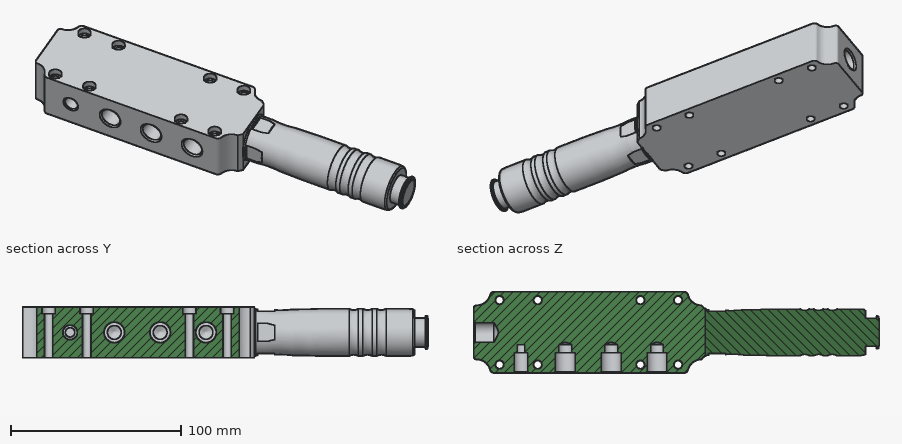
import cadquery as cq
import math

total_length = 238.5

block_length = 136.2
block_width = 48.0
block_height = 30.0
scallop_radius = 16.0 / 2
shoulder_radius = 2.9
end_radius = 2.0
end_chamfer = 2.5

screw_hole_diameter = 4.8
screw_head_diameter = 7.6
screw_head_depth = 4.0
screw_row_spacing = 38.0
screw_positions = [15.3, 37.7, 98.0, 120.2]

port_diameter = 12.0
port_rim_diameter = 13.8
port_rim_depth = 1.0
port_depth = 12.0
port_bore_diameter = 8.0
port_bore_depth = 4.8
port_pitch = 27.0
first_port_position = 54.0
port_count = 3
end_port_depth = 12.0
small_port_position = 28.0
small_port_diameter = 8.3
small_port_rim_diameter = 9.8
small_port_rim_depth = 0.7
small_port_depth = 12.0
small_port_bore_diameter = 5.5
small_port_bore_depth = 4.8
drill_half_angle = 59.0

collar_radius = 14.3
collar_end = 137.1
neck_radius = 13.5
neck_end = 144.0
waist_radius = 13.0
waist_end = 158.8
grip_radius = 28.0 / 2
grip_start = 174.0
groove_pitch = 8.0
groove_width = 5.5
groove_depth = 0.7
groove_count = 3
first_groove_position = 194.5
taper_start = 227.0
taper_end = 229.5
taper_radius = 27.5 / 2
grip_end = 230.5
grip_end_radius = 12.9
stub_radius = 8.5
nut_start = 236.5
nut_end = 238.0
nut_radius = 19.8 / 2
nut_chamfer = 0.5
tip_radius = 8.0
flat_start = 138.0
flat_end = 148.0
across_flats = 25.0
flat_count = 4


def block_blank():
    """Block with rounded concave reliefs at its four vertical corners."""
    half_width = block_width / 2
    scallop_floor = half_width - scallop_radius
    free_centre = end_radius
    handle_centre = block_length - end_chamfer

    reach = scallop_radius + shoulder_radius
    shoulder_run = math.sqrt(reach**2 - shoulder_radius**2)
    touch_run = shoulder_run * scallop_radius / reach
    touch_y = half_width - shoulder_radius * scallop_radius / reach

    half_outline = (
        cq.Workplane("XY")
        .lineTo(0, scallop_floor - end_radius)
        .tangentArcPoint((free_centre, scallop_floor), relative=False)
        .tangentArcPoint((free_centre + touch_run, touch_y), relative=False)
        .tangentArcPoint((free_centre + shoulder_run, half_width), relative=False)
        .lineTo(handle_centre - shoulder_run, half_width)
        .tangentArcPoint((handle_centre - touch_run, touch_y), relative=False)
        .tangentArcPoint((handle_centre, scallop_floor), relative=False)
        .lineTo(block_length, scallop_floor - end_chamfer)
        .lineTo(block_length, 0)
    )
    return half_outline.mirrorX().extrude(block_height / 2, both=True)


def screw_holes():
    """Counterbored through holes in two rows along the long sides."""
    points = [(x, side * screw_row_spacing / 2) for x in screw_positions for side in (-1, 1)]
    top = cq.Workplane("XY").workplane(offset=block_height / 2).pushPoints(points)
    holes = top.circle(screw_hole_diameter / 2).extrude(-block_height)
    heads = top.circle(screw_head_diameter / 2).extrude(-screw_head_depth)
    return holes.union(heads)


def round_cutter(profile):
    """Turn a list of (radius, depth) points into a cutter running along +Z from the origin."""
    return cq.Workplane("XZ").polyline([(0, 0), *profile]).close().revolve(360, (0, 0), (0, 1))


def drill_tip(radius):
    """Height of the conical tip that a drill of this radius leaves."""
    return radius / math.tan(math.radians(drill_half_angle))


def rim(diameter, rim_diameter, rim_depth):
    """Profile of the bevel at the mouth of a port."""
    return [(rim_diameter / 2, 0), (diameter / 2, rim_depth)]


def side_port_cutter():
    """Stepped port with a drilled bore below its seat."""
    bore_radius = port_bore_diameter / 2
    bore_floor = port_depth + port_bore_depth
    return round_cutter(
        rim(port_diameter, port_rim_diameter, port_rim_depth)
        + [
            (port_diameter / 2, port_depth),
            (bore_radius, port_depth),
            (bore_radius, bore_floor),
            (0, bore_floor + drill_tip(bore_radius)),
        ]
    )


def small_port_cutter():
    """Stepped port with a flat-bottomed bore."""
    bore_radius = small_port_bore_diameter / 2
    bore_floor = small_port_depth + small_port_bore_depth
    return round_cutter(
        rim(small_port_diameter, small_port_rim_diameter, small_port_rim_depth)
        + [
            (small_port_diameter / 2, small_port_depth),
            (bore_radius, small_port_depth),
            (bore_radius, bore_floor),
            (0, bore_floor),
        ]
    )


def end_port_cutter():
    """Plain drilled port for the free end."""
    radius = port_diameter / 2
    return round_cutter(
        rim(port_diameter, port_rim_diameter, port_rim_depth)
        + [(radius, end_port_depth), (0, end_port_depth + drill_tip(radius))]
    )


def make_block():
    block = block_blank().cut(screw_holes())

    into_side = ((0, 0, 0), (1, 0, 0), -90)
    side_y = -block_width / 2
    side_port = side_port_cutter().rotate(*into_side)
    for index in range(port_count):
        x = first_port_position + index * port_pitch
        block = block.cut(side_port.translate((x, side_y, 0)))
    small_port = small_port_cutter().rotate(*into_side)
    block = block.cut(small_port.translate((small_port_position, side_y, 0)))

    return block.cut(end_port_cutter().rotate((0, 0, 0), (0, 1, 0), 90))


def handle_blank():
    """Turned handle, from the collar at the block to the nut at its far end."""
    profile = (
        cq.Workplane("XY")
        .moveTo(block_length, 0)
        .lineTo(block_length, collar_radius)
        .lineTo(collar_end, neck_radius)
        .lineTo(neck_end, neck_radius)
        .threePointArc(((neck_end + waist_end) / 2, waist_radius), (waist_end, neck_radius))
        .lineTo(grip_start, grip_radius)
        .lineTo(taper_start, grip_radius)
        .lineTo(taper_end, taper_radius)
        .lineTo(grip_end, grip_end_radius)
        .lineTo(grip_end, stub_radius)
        .lineTo(nut_start, stub_radius)
        .lineTo(nut_start, nut_radius - nut_chamfer)
        .lineTo(nut_start + nut_chamfer, nut_radius)
        .lineTo(nut_end - nut_chamfer, nut_radius)
        .lineTo(nut_end, nut_radius - nut_chamfer)
        .lineTo(nut_end, tip_radius)
        .lineTo(total_length, tip_radius)
        .lineTo(total_length, 0)
        .close()
    )
    return profile.revolve(360, (0, 0), (1, 0))


def grip_groove(centre):
    """Ring that cuts one shallow rounded groove around the grip."""
    return (
        cq.Workplane("XY")
        .moveTo(centre - groove_width / 2, grip_radius)
        .threePointArc((centre, grip_radius - groove_depth), (centre + groove_width / 2, grip_radius))
        .close()
        .revolve(360, (0, 0), (1, 0))
    )


def wrench_flat():
    """Cutter for the flat on the +Z side of the neck."""
    return cq.Workplane("XY").box(
        flat_end - flat_start, 2 * collar_radius, collar_radius, centered=(False, True, False)
    ).translate((flat_start, 0, across_flats / 2))


def make_handle():
    handle = handle_blank()
    for index in range(groove_count):
        handle = handle.cut(grip_groove(first_groove_position + index * groove_pitch))
    flat = wrench_flat()
    for index in range(flat_count):
        handle = handle.cut(flat.rotate((0, 0, 0), (1, 0, 0), index * 360 / flat_count))
    return handle


block = make_block()
handle = make_handle()
result = cq.Compound.makeCompound([block.val(), handle.val()])